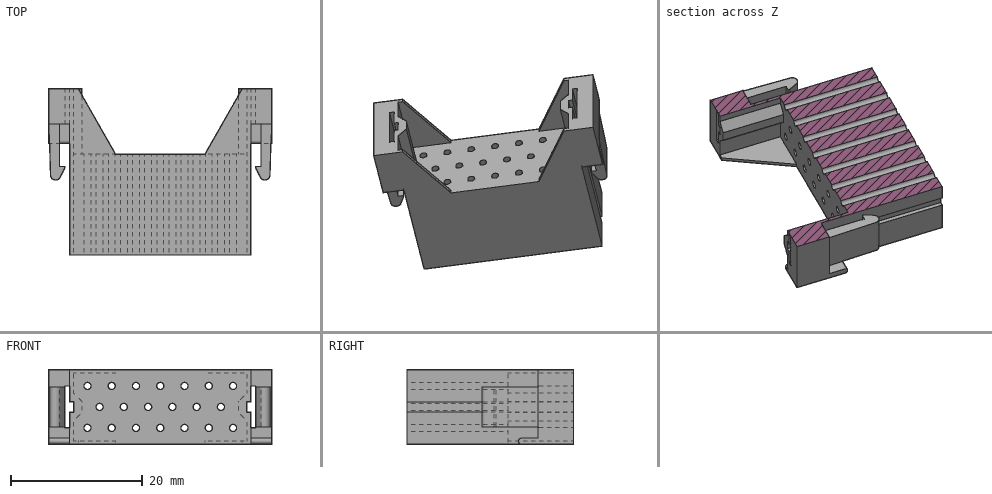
import cadquery as cq
import math

width = 34.0
length = 25.4
height = 11.4
half_width = width / 2
half_height = height / 2

body_half_width = 13.8
ear_front_y = 20.0

notch_floor_y = 15.4
notch_floor_half_width = 6.8
notch_mouth_half_width = 12.5

plate_thickness = 0.53
cavity_half_width = 13.2

rib_tip_x = 11.93
rib_tip_height = 1.7
rib_base_height = rib_tip_height + 2 * (cavity_half_width - rib_tip_x)

groove_height = 1.55
groove_depth = 0.6

pin_diameter = 1.05
pin_pitch = 3.7
pin_row_spacing = 3.2
outer_row_count = 7
middle_row_count = 6

latch_height = 6.1
latch_outer_x = 16.97
latch_inner_x = 15.35
latch_tip_y = 11.45
latch_tip_radius = 0.8
latch_tip_centre_x = 15.95
barb_tip_x = 14.54
barb_back_y = 13.55
barb_flat_length = 0.28

window_height = 6.35

ledge_thickness = 0.95
ledge_front_y = 17.0


def box(x_min, x_max, y_min, y_max, z_min, z_max):
    """Box between the given limits."""
    return (
        cq.Workplane("XY")
        .box(x_max - x_min, y_max - y_min, z_max - z_min, centered=False)
        .translate((x_min, y_min, z_min))
    )


def both_sides(shape):
    """The +X shape together with its mirror image on the -X side."""
    return shape.union(shape.mirror("YZ"))


def extrude_in_z(profile, extent):
    """Extrude an XY profile by the given height, centred on Z = 0."""
    return profile.extrude(extent / 2, both=True)


def make_blank():
    body = box(-body_half_width, body_half_width, 0, length, -half_height, half_height)
    ears = box(-half_width, half_width, ear_front_y, length, -half_height, half_height)
    return body.union(ears)


def make_notch():
    profile = (
        cq.Workplane("XY")
        .moveTo(-notch_mouth_half_width, length)
        .lineTo(-notch_floor_half_width, notch_floor_y)
        .lineTo(notch_floor_half_width, notch_floor_y)
        .lineTo(notch_mouth_half_width, length)
        .close()
    )
    return extrude_in_z(profile, height)


def make_cavity():
    cavity_top = half_height - plate_thickness
    return box(-cavity_half_width, cavity_half_width, notch_floor_y, length, -cavity_top, cavity_top)


def make_rib():
    profile = (
        cq.Workplane("XZ", origin=(0, length, 0))
        .moveTo(cavity_half_width, rib_base_height / 2)
        .lineTo(rib_tip_x, rib_tip_height / 2)
        .lineTo(rib_tip_x, -rib_tip_height / 2)
        .lineTo(cavity_half_width, -rib_base_height / 2)
        .close()
    )
    return profile.extrude(length - notch_floor_y)


def make_groove():
    groove_floor_x = body_half_width - groove_depth
    return box(groove_floor_x, body_half_width, 0, length, -groove_height / 2, groove_height / 2)


def make_window():
    return box(
        body_half_width, barb_tip_x, ear_front_y, length, -window_height / 2, window_height / 2
    )


def make_latch():
    centre_y = latch_tip_y + latch_tip_radius
    barb_front_y = barb_back_y - barb_flat_length

    to_barb_x = barb_tip_x - latch_tip_centre_x
    to_barb_y = barb_front_y - centre_y
    barb_distance = math.hypot(to_barb_x, to_barb_y)
    tangent_angle = math.atan2(to_barb_y, to_barb_x) + math.acos(latch_tip_radius / barb_distance)
    tangent_x = latch_tip_centre_x + latch_tip_radius * math.cos(tangent_angle)
    tangent_y = centre_y + latch_tip_radius * math.sin(tangent_angle)

    profile = (
        cq.Workplane("XY")
        .moveTo(latch_outer_x, ear_front_y)
        .lineTo(latch_tip_centre_x + latch_tip_radius, centre_y)
        .threePointArc((latch_tip_centre_x, latch_tip_y), (tangent_x, tangent_y))
        .lineTo(barb_tip_x, barb_front_y)
        .lineTo(barb_tip_x, barb_back_y)
        .lineTo(latch_inner_x, barb_back_y)
        .lineTo(latch_inner_x, ear_front_y)
        .close()
    )
    return extrude_in_z(profile, latch_height)


def make_ledge():
    nose_radius = ledge_thickness / 2
    nose_start_y = ledge_front_y + nose_radius
    ledge_top = -half_height + ledge_thickness
    profile = (
        cq.Workplane("YZ", origin=(body_half_width, 0, 0))
        .moveTo(ear_front_y, -half_height)
        .lineTo(nose_start_y, -half_height)
        .threePointArc((ledge_front_y, ledge_top - nose_radius), (nose_start_y, ledge_top))
        .lineTo(ear_front_y, ledge_top)
        .close()
    )
    return profile.extrude(half_width - body_half_width)


def make_pin_row(count, z):
    first_x = -pin_pitch * (count - 1) / 2
    centres = [(first_x + pin_pitch * i, z) for i in range(count)]
    return cq.Workplane("XZ").pushPoints(centres).circle(pin_diameter / 2).extrude(-notch_floor_y)


result = make_blank().cut(make_notch()).cut(make_cavity())
result = result.union(both_sides(make_rib()))
result = result.cut(both_sides(make_groove())).cut(both_sides(make_window()))
result = result.union(both_sides(make_latch())).union(both_sides(make_ledge()))
result = result.cut(make_pin_row(outer_row_count, pin_row_spacing))
result = result.cut(make_pin_row(middle_row_count, 0))
result = result.cut(make_pin_row(outer_row_count, -pin_row_spacing))